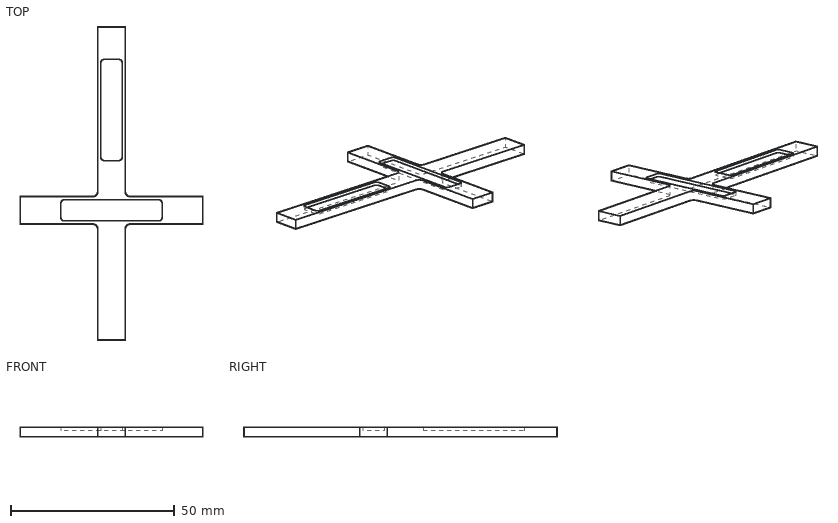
import cadquery as cq

length_x = 56.0
length_y = 96.0
thickness = 3.0
arm_width = 8.5
inner_corner_radius = 1.5
short_arm_reach = 39.75

pocket_length = 31.0
pocket_margin = 1.0
pocket_width = arm_width - 2 * pocket_margin
pocket_depth = 1.0
pocket_corner_radius = 1.0
pocket_end_gap = 10.0

long_arm_reach = length_y - short_arm_reach
long_bar_center_y = (long_arm_reach - short_arm_reach) / 2
long_pocket_center_y = long_arm_reach - pocket_end_gap - pocket_length / 2


def block(size_x, size_y, height, center_y, bottom_z):
    """Upright block centred on X = 0."""
    return (
        cq.Workplane("XY")
        .box(size_x, size_y, height, centered=(True, True, False))
        .translate((0, center_y, bottom_z))
    )


def cross_body():
    """Two crossing bars with rounded inner corners."""
    crossbar = block(length_x, arm_width, thickness, 0, 0)
    long_bar = block(arm_width, length_y, thickness, long_bar_center_y, 0)
    inner_corners = cq.selectors.BoxSelector(
        (-arm_width, -arm_width, 0), (arm_width, arm_width, thickness)
    )
    return crossbar.union(long_bar).edges("|Z").edges(inner_corners).fillet(inner_corner_radius)


def pocket_cutter(size_x, size_y, center_y):
    """Round-cornered block that sinks a pocket into the top face."""
    cutter = block(size_x, size_y, pocket_depth, center_y, thickness - pocket_depth)
    return cutter.edges("|Z").fillet(pocket_corner_radius)


crossbar_pocket = pocket_cutter(pocket_length, pocket_width, 0)
long_arm_pocket = pocket_cutter(pocket_width, pocket_length, long_pocket_center_y)

result = cross_body().cut(crossbar_pocket).cut(long_arm_pocket)